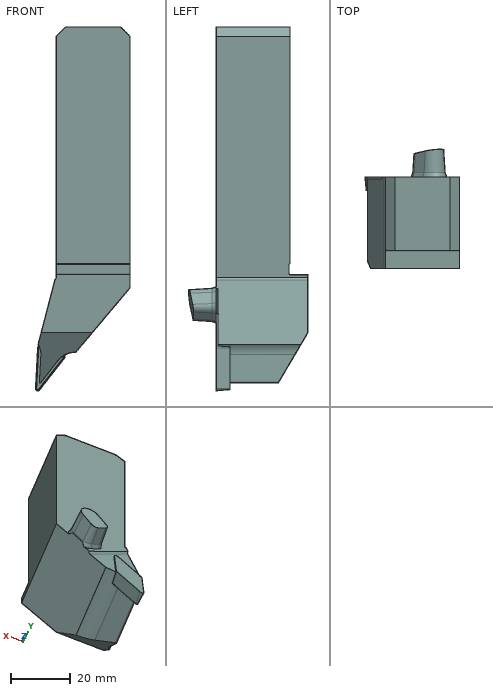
import cadquery as cq
import math

TOTAL_LENGTH = 123.0

SHANK_SIZE = 25.0
SHANK_CHAMFER = 3.2
UNDERCUT_TOP_Z = 43.0
UNDERCUT_DEPTH = 0.4

HEAD_TOP_Z = 39.2
HEAD_DEPTH = 31.0
LEDGE_FILLET = 0.5
LEFT_FACET_TOP_Z = 38.3
LEFT_FACET_BOTTOM = (-0.5, 37.4)
LEFT_BEND = (-6.2, 15.6)
RIGHT_BEND_Z = 34.8
RIGHT_STEP = (6.6, 13.0)
UNDERSIDE_START_Z = 19.7
UNDERSIDE_ANGLE = 30.5

INSERT_ANGLE = 35.0
INSERT_WIDTH = 9.5
INSERT_THICKNESS = 4.7
INSERT_NOSE_RADIUS = 0.8
INSERT_RELIEF = 5.0
INSERT_OVERHANG_X = 7.0
LEAD_EDGE_ANGLE = 3.0

NOSE_INSET = 1.2
NOSE_RADIUS = 0.2
NOSE_EDGE_LENGTH = 10.1

RECESS_DEPTH = 0.68
RECESS_START_Z = 33.5
RECESS_FILLET = 0.6

NOZZLE_CENTER = (14.8, 29.2)
NOZZLE_AXIS_ANGLE = 49.0
NOZZLE_WIDTH = 8.1
NOZZLE_REAR_LENGTH = 6.0
NOZZLE_FRONT_LENGTH = 5.3
NOZZLE_CORNER_RADIUS = 2.2
NOZZLE_HEIGHT = 9.3
NOZZLE_TAPER = 3.5
FLARE_HEIGHT = 1.5
FLARE_TAPER = 18.0
NOZZLE_TIP_SLOPE = 9.3


def step(start, angle_from_vertical, distance):
    """Point reached from start, leaning right of vertical by the given angle."""
    angle = math.radians(angle_from_vertical)
    return (start[0] + distance * math.sin(angle), start[1] + distance * math.cos(angle))


def tangent_arc_middle(start, angle_from_vertical, end):
    """Middle point of the arc that leaves start in the given direction and reaches end."""
    dx = end[0] - start[0]
    dz = end[1] - start[1]
    turn = math.atan2(dx, dz) - math.radians(angle_from_vertical)
    bulge = math.tan(turn / 2) / 2
    return (start[0] + dx / 2 - dz * bulge, start[1] + dz / 2 + dx * bulge)


bisector_angle = LEAD_EDGE_ANGLE + INSERT_ANGLE / 2
right_edge_angle = LEAD_EDGE_ANGLE + INSERT_ANGLE
sin_half_corner = math.sin(math.radians(INSERT_ANGLE / 2))
nose_center = (INSERT_NOSE_RADIUS - INSERT_OVERHANG_X, INSERT_NOSE_RADIUS)
insert_corner = step(nose_center, bisector_angle, -INSERT_NOSE_RADIUS / sin_half_corner)

nozzle_axis_x = math.cos(math.radians(NOZZLE_AXIS_ANGLE))
nozzle_axis_z = math.sin(math.radians(NOZZLE_AXIS_ANGLE))


def make_insert():
    side = INSERT_WIDTH / math.sin(math.radians(INSERT_ANGLE))
    left_corner = step(insert_corner, LEAD_EDGE_ANGLE, side)
    right_corner = step(insert_corner, right_edge_angle, side)
    far_corner = step(left_corner, right_edge_angle, side)
    sharp_corners = [insert_corner, left_corner, far_corner, right_corner]
    rhombus = cq.Workplane("XZ").polyline(sharp_corners).close().val()
    rounded = rhombus.fillet2D(INSERT_NOSE_RADIUS, rhombus.Vertices())
    blank = cq.Workplane("XZ").add(rounded).toPending()
    return blank.extrude(INSERT_THICKNESS, taper=INSERT_RELIEF)


def make_shank():
    """Shank bar with the undercut above the ledge; its foot is buried in the head."""
    undercut_y = UNDERCUT_DEPTH - SHANK_SIZE
    return (
        cq.Workplane("YZ")
        .moveTo(0, RIGHT_BEND_Z)
        .lineTo(0, TOTAL_LENGTH)
        .lineTo(-SHANK_SIZE, TOTAL_LENGTH)
        .lineTo(-SHANK_SIZE, UNDERCUT_TOP_Z)
        .lineTo(undercut_y, UNDERCUT_TOP_Z - UNDERCUT_DEPTH)
        .lineTo(undercut_y, HEAD_TOP_Z + LEDGE_FILLET)
        .tangentArcPoint((undercut_y - LEDGE_FILLET, HEAD_TOP_Z), relative=False)
        .lineTo(undercut_y - LEDGE_FILLET, RIGHT_BEND_Z)
        .close()
        .extrude(SHANK_SIZE)
        .edges(">Z and |Y")
        .chamfer(SHANK_CHAMFER)
    )


def head_outline():
    corner = step(insert_corner, bisector_angle, NOSE_INSET / sin_half_corner)
    left_end = step(corner, LEAD_EDGE_ANGLE, NOSE_EDGE_LENGTH)
    right_end = step(corner, right_edge_angle, NOSE_EDGE_LENGTH)
    return (
        cq.Workplane("XZ")
        .moveTo(*corner)
        .lineTo(*left_end)
        .threePointArc(tangent_arc_middle(left_end, LEAD_EDGE_ANGLE, LEFT_BEND), LEFT_BEND)
        .lineTo(*LEFT_FACET_BOTTOM)
        .lineTo(0, LEFT_FACET_TOP_Z)
        .lineTo(0, HEAD_TOP_Z)
        .lineTo(SHANK_SIZE, HEAD_TOP_Z)
        .lineTo(SHANK_SIZE, RIGHT_BEND_Z)
        .lineTo(*RIGHT_STEP)
        .threePointArc(tangent_arc_middle(right_end, right_edge_angle, RIGHT_STEP), right_end)
        .close()
    )


def make_head():
    head = head_outline().extrude(HEAD_DEPTH).edges("|Y and <Z").fillet(NOSE_RADIUS)
    run = UNDERSIDE_START_Z * math.tan(math.radians(UNDERSIDE_ANGLE))
    underside = (
        cq.Workplane("YZ")
        .polyline([(-HEAD_DEPTH, UNDERSIDE_START_Z), (-HEAD_DEPTH + run, 0), (-HEAD_DEPTH, 0)])
        .close()
        .extrude(SHANK_SIZE, both=True)
    )
    return head.cut(underside)


def make_recess():
    recess = (
        cq.Workplane("XZ")
        .polyline([
            (-SHANK_SIZE, RECESS_START_Z + SHANK_SIZE),
            (SHANK_SIZE, RECESS_START_Z - SHANK_SIZE),
            (SHANK_SIZE, 0),
            (-SHANK_SIZE, 0),
        ])
        .close()
        .extrude(RECESS_DEPTH)
    )
    return recess.faces("<Y").edges(">(1, 0, 1)").fillet(RECESS_FILLET)


def nozzle_outline():
    """Outline at the top of the flare, with the local x along the nozzle axis."""
    plane = cq.Plane(
        origin=(NOZZLE_CENTER[0], FLARE_HEIGHT, NOZZLE_CENTER[1]),
        xDir=(nozzle_axis_x, 0, nozzle_axis_z),
        normal=(0, -1, 0),
    )
    half_width = NOZZLE_WIDTH / 2
    corner_x = NOZZLE_CORNER_RADIUS - NOZZLE_FRONT_LENGTH
    corner_y = half_width - NOZZLE_CORNER_RADIUS
    return (
        cq.Workplane(plane)
        .moveTo(corner_x, -half_width)
        .lineTo(NOZZLE_REAR_LENGTH - half_width, -half_width)
        .threePointArc((NOZZLE_REAR_LENGTH, 0), (NOZZLE_REAR_LENGTH - half_width, half_width))
        .lineTo(corner_x, half_width)
        .tangentArcPoint((-NOZZLE_FRONT_LENGTH, corner_y), relative=False)
        .lineTo(-NOZZLE_FRONT_LENGTH, -corner_y)
        .tangentArcPoint((corner_x, -half_width), relative=False)
        .close()
    )


def make_nozzle():
    flare = nozzle_outline().extrude(FLARE_HEIGHT, taper=-FLARE_TAPER)
    stem_height = NOZZLE_HEIGHT - FLARE_HEIGHT
    stem = nozzle_outline().extrude(-stem_height, taper=NOZZLE_TAPER)

    tip_rear = NOZZLE_REAR_LENGTH - stem_height * math.tan(math.radians(NOZZLE_TAPER))
    slope = math.tan(math.radians(NOZZLE_TIP_SLOPE))
    tip_plane = cq.Plane(
        origin=(
            NOZZLE_CENTER[0] + tip_rear * nozzle_axis_x,
            NOZZLE_HEIGHT,
            NOZZLE_CENTER[1] + tip_rear * nozzle_axis_z,
        ),
        xDir=(nozzle_axis_z, 0, -nozzle_axis_x),
        normal=(-slope * nozzle_axis_x, 1, -slope * nozzle_axis_z),
    )
    waste_size = 4 * (NOZZLE_REAR_LENGTH + NOZZLE_FRONT_LENGTH)
    waste = cq.Workplane(tip_plane).rect(waste_size, waste_size).extrude(NOZZLE_HEIGHT)

    head_limits = head_outline().extrude(-NOZZLE_HEIGHT)
    return flare.union(stem).cut(waste).intersect(head_limits)


def make_holder(insert):
    body = make_shank().union(make_head())
    return body.cut(make_recess()).cut(insert).union(make_nozzle())


insert = make_insert()
holder = make_holder(insert)
result = cq.Compound.makeCompound([holder.val(), insert.val()])